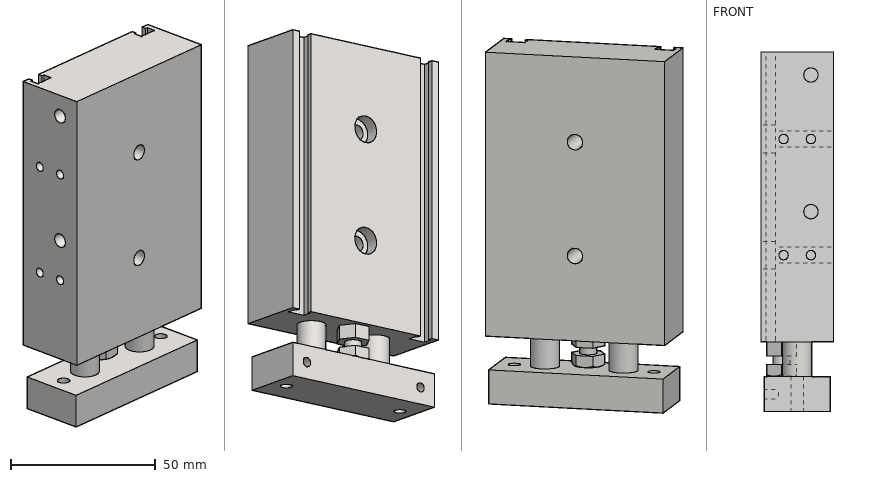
import cadquery as cq
import math

housing_depth = 25.0
housing_width = 64.0
total_height = 124.0
plate_height = 12.0
gap_height = 12.0
housing_bottom = plate_height + gap_height
housing_height = total_height - housing_bottom

slot_from_edge = 5.5
slot_mouth_width = 5.0
slot_inner_width = 6.7
slot_lip = 1.7
slot_depth = 5.1
slot_center = housing_width / 2 - slot_from_edge

mount_levels = (30.0, 70.0)
port_levels = (7.9, 55.0)
mount_bore = 5.5
mount_counterbore = 9.5
mount_counterbore_depth = 5.0
thread_bore = 3.2
thread_depth = 5.0
thread_columns = (7.8, 17.2)
port_bore = 5.0
port_depth = 5.0
port_x = thread_columns[1]

plate_depth = 22.8
plate_width = 62.2
plate_center_x = housing_depth / 2
rod_diameter = 10.0
rod_spacing = 28.0
plate_hole_spacing = 49.8
plate_through_bore = 4.2

bolt_x = 7.1
hex_flats = 10.3
hex_corners = hex_flats / math.cos(math.pi / 6)
nut_height = 5.0
head_height = 4.2
shank_diameter = 6.0
head_bottom_diameter = 9.7
head_chamfer_angle = math.radians(30)


def box(depth, width, height, x_min, y_center, z_min):
    block = cq.Workplane("XY").box(depth, width, height, centered=(False, True, False))
    return block.translate((x_min, y_center, z_min))


def cylinder(diameter, length, start, direction):
    solid = cq.Solid.makeCylinder(diameter / 2, length, cq.Vector(*start), cq.Vector(*direction))
    return cq.Workplane(obj=solid)


def t_slot(y):
    mouth = box(slot_lip, slot_mouth_width, housing_height, 0, y, housing_bottom)
    channel = box(slot_depth - slot_lip, slot_inner_width, housing_height, slot_lip, y, housing_bottom)
    return mouth.union(channel)


def make_housing():
    body = box(housing_depth, housing_width, housing_height, 0, 0, housing_bottom)
    side_y = -housing_width / 2
    for y in (-slot_center, slot_center):
        body = body.cut(t_slot(y))
    for level in mount_levels:
        z = total_height - level
        body = body.cut(cylinder(mount_bore, housing_depth, (0, 0, z), (1, 0, 0)))
        body = body.cut(cylinder(mount_counterbore, mount_counterbore_depth, (0, 0, z), (1, 0, 0)))
        for x in thread_columns:
            body = body.cut(cylinder(thread_bore, thread_depth, (x, side_y, z), (0, 1, 0)))
    for level in port_levels:
        z = total_height - level
        body = body.cut(cylinder(port_bore, port_depth, (port_x, side_y, z), (0, 1, 0)))
    return body


def make_plate_with_rods():
    plate_x_min = plate_center_x - plate_depth / 2
    body = box(plate_depth, plate_width, plate_height, plate_x_min, 0, 0)
    for side in (-1, 1):
        rod_y = side * rod_spacing / 2
        hole_y = side * plate_hole_spacing / 2
        body = body.union(cylinder(rod_diameter, gap_height, (plate_center_x, rod_y, plate_height), (0, 0, 1)))
        body = body.cut(cylinder(plate_through_bore, plate_height, (plate_center_x, hole_y, 0), (0, 0, 1)))
        thread_start = (plate_x_min, hole_y, plate_height / 2)
        body = body.cut(cylinder(thread_bore, thread_depth, thread_start, (1, 0, 0)))
    return body


def hexagon(height, z_min):
    prism = cq.Workplane("XY").polygon(6, hex_corners).extrude(height)
    return prism.rotate((0, 0, 0), (0, 0, 1), 90).translate((bolt_x, 0, z_min))


def head_chamfer_cone():
    bottom_radius = head_bottom_diameter / 2
    top_radius = bottom_radius + head_height / math.tan(head_chamfer_angle)
    cone = cq.Solid.makeCone(bottom_radius, top_radius, head_height, cq.Vector(bolt_x, 0, plate_height))
    return cq.Workplane(obj=cone)


def make_stopper_bolt():
    head = hexagon(head_height, plate_height).intersect(head_chamfer_cone())
    shank = cylinder(shank_diameter, gap_height, (bolt_x, 0, plate_height), (0, 0, 1))
    nut = hexagon(nut_height, housing_bottom - nut_height)
    return head.union(shank).union(nut)


housing = make_housing()
plate_with_rods = make_plate_with_rods()
stopper_bolt = make_stopper_bolt()

result = cq.Compound.makeCompound([housing.val(), plate_with_rods.val(), stopper_bolt.val()])